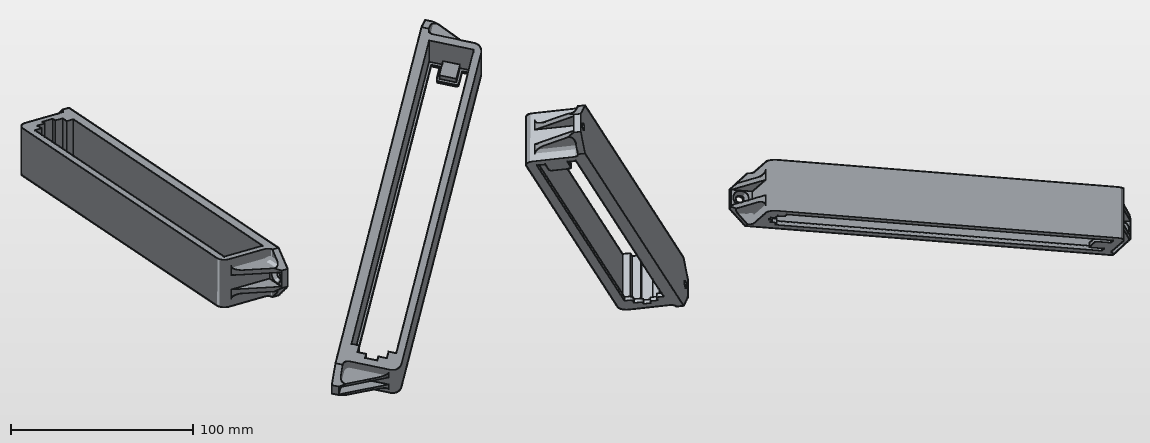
import cadquery as cq

length = 229.0
depth = 35.5
height = 29.0
back_y = depth / 2

body_length = 205.0
body_end = body_length / 2
front_corner_radius = 5.0

flange_thickness = 4.1
flange_corner_chamfer = 9.2
rib_drop = 29.3
rib_gap = 8.7
rib_thickness = 2.7
root_fillet = 3.0
slot_inset = 5.5
slot_elongation = 1.0
slot_width = 3.7
countersink_width = 8.0
countersink_taper = 45
flange_front_y = back_y - flange_thickness
ear_reach = length / 2 - body_end
rib_outer_z = rib_gap / 2 + rib_thickness

front_wall = 4.4
back_wall = 6.0
right_wall = 4.1
cavity_left = -91.8
cavity_right = body_end - right_wall
cavity_front = -back_y + front_wall
cavity_back = back_y - back_wall
cavity_width = cavity_back - cavity_front
cavity_y = (cavity_front + cavity_back) / 2
wide_notch_depth = 4.1
wide_notch_width = 16.5
narrow_notch_depth = 6.6
narrow_notch_width = 6.9
block_length = 9.0
block_width = 9.6
block_height = 6.9

lip_width = 1.49
lip_height = 2.3


def prism(x_min, x_max, width, z_min, z_max):
    """Box centred on the cavity in Y."""
    return (
        cq.Workplane("XY", origin=((x_min + x_max) / 2, cavity_y, z_min))
        .rect(x_max - x_min, width)
        .extrude(z_max - z_min)
    )


def make_body():
    return (
        cq.Workplane("XY")
        .box(body_length, depth, height)
        .edges("|Z and <Y")
        .fillet(front_corner_radius)
    )


def make_cavity():
    """Full-height opening, including the notches in the left end."""
    bottom, top = -height / 2, height / 2
    cavity = prism(cavity_left, cavity_right, cavity_width, bottom, top)
    for notch_depth, notch_width in (
        (wide_notch_depth, wide_notch_width),
        (narrow_notch_depth, narrow_notch_width),
    ):
        notch = prism(cavity_left - notch_depth, cavity_left, notch_width, bottom, top)
        cavity = cavity.union(notch)
    return cavity


def make_block():
    return prism(
        cavity_right - block_length, cavity_right, block_width, -height / 2, -height / 2 + block_height
    )


def make_lip(cavity, block):
    """Ring of constant width inside the cavity outline, passing round the block."""
    floor_outline = cavity.cut(block).faces("<Z").wires().val()
    lip_opening = floor_outline.offset2D(-lip_width, "arc")[0]
    ring = cq.Solid.extrudeLinear(floor_outline, [lip_opening], cq.Vector(0, 0, lip_height))
    return cq.Workplane(ring)


def make_outer_pocket():
    """Recess above the upper rib; its rounded inner edges leave the root fillets."""
    pocket_height = height / 2
    return (
        cq.Workplane("XY")
        .box(2 * ear_reach, depth, pocket_height, centered=False)
        .translate((-body_end - 2 * ear_reach, flange_front_y - depth, rib_outer_z))
        .edges("(|X and >Y and <Z) or (|Y and >X and <Z) or (|Z and >X and >Y)")
        .fillet(root_fillet)
    )


def make_countersunk_slot():
    """Cutter for the screw slot, elongated along X and widened at the flange front."""
    centre = (-length / 2 + slot_inset, flange_front_y, 0)
    front_plane = cq.Plane(origin=centre, xDir=(1, 0, 0), normal=(0, 1, 0))
    countersink_depth = (countersink_width - slot_width) / 2
    slot = (
        cq.Workplane(front_plane)
        .slot2D(slot_width + slot_elongation, slot_width)
        .extrude(flange_thickness)
    )
    countersink = (
        cq.Workplane(front_plane)
        .slot2D(countersink_width + slot_elongation, countersink_width)
        .extrude(countersink_depth, taper=countersink_taper)
    )
    return slot.union(countersink)


def make_left_ear():
    ear = (
        cq.Workplane("XY", origin=(0, 0, -height / 2))
        .moveTo(-body_end, back_y)
        .lineTo(-length / 2, back_y)
        .lineTo(-length / 2, flange_front_y)
        .lineTo(-body_end, back_y - rib_drop)
        .close()
        .extrude(height)
    )
    corner_outline = [
        (-length / 2, height / 2 - flange_corner_chamfer),
        (-length / 2, height / 2),
        (-length / 2 + flange_corner_chamfer, height / 2),
    ]
    corner = cq.Workplane("XZ").polyline(corner_outline).close().extrude(depth, both=True)
    outer_pocket = make_outer_pocket()
    for cutter in (corner, outer_pocket):
        ear = ear.cut(cutter).cut(cutter.mirror("XY"))

    middle_pocket = (
        cq.Workplane("XZ", origin=(-body_end - ear_reach / 2, flange_front_y, 0))
        .rect(ear_reach, rib_gap)
        .extrude(depth)
    )
    ear = ear.cut(middle_pocket)

    return ear.cut(make_countersunk_slot())


cavity = make_cavity()
block = make_block()
left_ear = make_left_ear()

result = make_body().cut(cavity).union(block).union(make_lip(cavity, block))
result = result.union(left_ear).union(left_ear.mirror("YZ"))